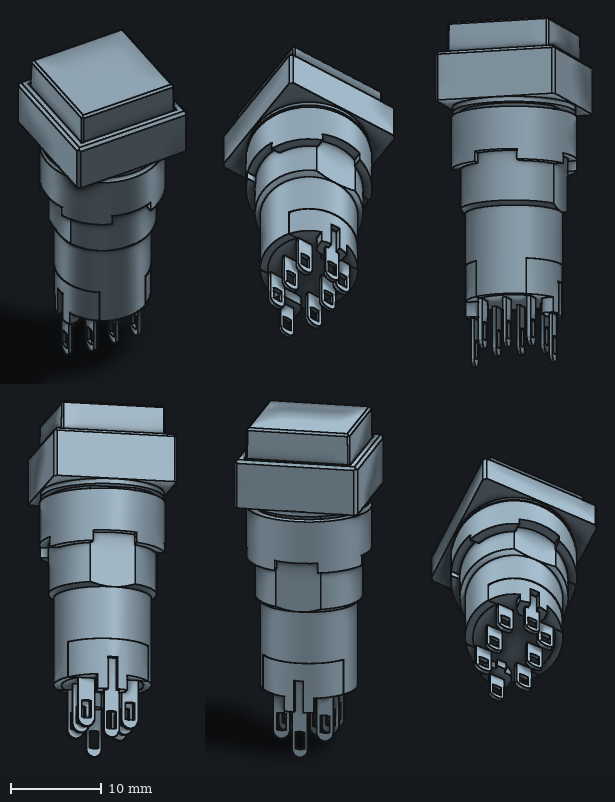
import cadquery as cq

TOP_Z = 38.0
BEZEL_TOP_Z = 34.55
CAP_BOTTOM_Z = 30.75
BEZEL_BOTTOM_Z = 29.05
FLANGE_BOTTOM_Z = 28.45
NUT_TOP_Z = 27.9
NUT_BOTTOM_Z = 21.95
BARREL_BOTTOM_Z = 17.02
BLOCK_TOP_Z = 11.1
HOUSING_BOTTOM_Z = 7.05
TONGUE_BOTTOM_Z = 5.4

BEZEL_SIDE = 14.0
BEZEL_CHAMFER = 0.35
CAP_OPENING_SIDE = 12.1

FLANGE_RADIUS = 6.85
BARREL_RADIUS = 6.0
BARREL_CHAMFER_HEIGHT = 0.45
REAR_RADIUS = 5.45

CAP_BASE_SIDE = 11.97
CAP_TAPER_ANGLE = 1.0
CAP_CHAMFER = 0.25

NUT_RADIUS = 7.0
NUT_NOTCH_WIDTH = 4.9
NUT_NOTCH_HEIGHT = 1.15

CORE_RADIUS = 4.55
SEGMENT_RADIUS = 5.4
SEGMENT_INNER_Y = 2.93

TONGUE_WIDTH = 3.35
TONGUE_CORNER_RADIUS = 0.8
TONGUE_INNER_Y = 3.57
KEY_WIDTH = 1.05
KEY_INNER_Y = 3.15

GROOVE_WIDTH = 1.05
GROOVE_TOP_Z = 9.05

TERMINAL_THICKNESS = 0.38
CORNER_TERMINAL_THICKNESS = 0.45
LONG_TERMINAL_WIDTH = 1.7
LONG_TERMINAL_Y = 4.55
SHORT_TERMINAL_WIDTH = 1.85
SHORT_TERMINAL_X = 2.47
SHORT_TERMINAL_TIP_Z = 1.55
CORNER_TERMINAL_Y = 2.8
EYE_WIDTH = 1.05
EYE_HEIGHT = 2.05
EYE_END_RISE = 0.1
EYE_ABOVE_TIP = 0.95


def cylinder(radius, bottom_z, top_z):
    return cq.Workplane("XY", origin=(0, 0, bottom_z)).circle(radius).extrude(top_z - bottom_z)


def box(x_size, y_size, bottom_z, top_z, x=0, y=0):
    return cq.Workplane("XY", origin=(x, y, bottom_z)).rect(x_size, y_size).extrude(top_z - bottom_z)


def chamfered_square(side, chamfer, bottom_z, top_z, taper=0):
    """Square block, narrowing upwards by the taper angle, with its corners and top rim cut at 45 degrees."""
    half = side / 2
    cut = half - chamfer
    height = top_z - bottom_z
    base = cq.Workplane("XY", origin=(0, 0, bottom_z))
    rimmed = base.rect(side, side).extrude(height, taper=taper).faces(">Z").edges().chamfer(chamfer)
    corner_cut_outline = [
        (half, -cut), (half, cut), (cut, half), (-cut, half),
        (-half, cut), (-half, -cut), (-cut, -half), (cut, -half),
    ]
    return rimmed.intersect(base.polyline(corner_cut_outline).close().extrude(height, taper=taper))


def outer_segments(radius, bottom_z, top_z):
    """Two pieces of a disc, those lying beyond SEGMENT_INNER_Y on either Y side."""
    middle = box(2 * radius, 2 * SEGMENT_INNER_Y, bottom_z, top_z)
    return cylinder(radius, bottom_z, top_z).cut(middle)


def make_cap():
    return chamfered_square(CAP_BASE_SIDE, CAP_CHAMFER, CAP_BOTTOM_Z, TOP_Z, CAP_TAPER_ANGLE)


def make_barrel():
    """Threaded length with a tapered rear end and a flat on each Y side, level with the rear length."""
    barrel = (
        cq.Workplane("XZ")
        .moveTo(0, BARREL_BOTTOM_Z)
        .lineTo(REAR_RADIUS, BARREL_BOTTOM_Z)
        .lineTo(BARREL_RADIUS, BARREL_BOTTOM_Z + BARREL_CHAMFER_HEIGHT)
        .lineTo(BARREL_RADIUS, FLANGE_BOTTOM_Z)
        .lineTo(0, FLANGE_BOTTOM_Z)
        .close()
        .revolve(360, (0, 0, 0), (0, 1, 0))
    )
    return barrel.intersect(box(2 * BARREL_RADIUS, 2 * REAR_RADIUS, BARREL_BOTTOM_Z, FLANGE_BOTTOM_Z))


def make_housing():
    housing = (
        chamfered_square(BEZEL_SIDE, BEZEL_CHAMFER, BEZEL_BOTTOM_Z, BEZEL_TOP_Z)
        .union(cylinder(FLANGE_RADIUS, FLANGE_BOTTOM_Z, BEZEL_BOTTOM_Z))
        .union(make_barrel())
        .union(cylinder(REAR_RADIUS, HOUSING_BOTTOM_Z, BARREL_BOTTOM_Z))
    )
    cap_opening = box(CAP_OPENING_SIDE, CAP_OPENING_SIDE, CAP_BOTTOM_Z, BEZEL_TOP_Z)
    block_bore = cylinder(CORE_RADIUS, HOUSING_BOTTOM_Z, BLOCK_TOP_Z)
    block_windows = outer_segments(BARREL_RADIUS, HOUSING_BOTTOM_Z, BLOCK_TOP_Z)
    return housing.cut(cap_opening).cut(block_bore).cut(block_windows)


def make_nut():
    bore = cylinder(BARREL_RADIUS, NUT_BOTTOM_Z, NUT_TOP_Z)
    nut = cylinder(NUT_RADIUS, NUT_BOTTOM_Z, NUT_TOP_Z).cut(bore)
    notch_top_z = NUT_BOTTOM_Z + NUT_NOTCH_HEIGHT
    notch_along_x = box(2 * NUT_RADIUS, NUT_NOTCH_WIDTH, NUT_BOTTOM_Z, notch_top_z)
    notch_along_y = box(NUT_NOTCH_WIDTH, 2 * NUT_RADIUS, NUT_BOTTOM_Z, notch_top_z)
    return nut.cut(notch_along_x).cut(notch_along_y)


def make_terminal(x, y, width, thickness, tip_z):
    """Flat blade with a round tip and a wire eye, reaching up into the contact block."""
    half_width = width / 2
    half_eye = EYE_WIDTH / 2
    eye_bottom_z = tip_z + EYE_ABOVE_TIP
    eye_top_z = eye_bottom_z + EYE_HEIGHT
    plane = cq.Workplane("XZ", origin=(x, y, 0))
    blade = (
        plane.moveTo(-half_width, HOUSING_BOTTOM_Z)
        .lineTo(-half_width, tip_z + half_width)
        .threePointArc((0, tip_z), (half_width, tip_z + half_width))
        .lineTo(half_width, HOUSING_BOTTOM_Z)
        .close()
        .extrude(thickness / 2, both=True)
    )
    eye = (
        plane.moveTo(-half_eye, eye_bottom_z + EYE_END_RISE)
        .threePointArc((0, eye_bottom_z), (half_eye, eye_bottom_z + EYE_END_RISE))
        .lineTo(half_eye, eye_top_z - EYE_END_RISE)
        .threePointArc((0, eye_top_z), (-half_eye, eye_top_z - EYE_END_RISE))
        .close()
        .extrude(thickness, both=True)
    )
    return blade.cut(eye)


def make_long_terminal(side):
    """Terminal in the tongue; side is +1 or -1 along Y."""
    return make_terminal(0, side * LONG_TERMINAL_Y, LONG_TERMINAL_WIDTH, TERMINAL_THICKNESS, 0)


def make_short_terminal(side, row):
    """One of three terminals in a row along Y; side is +1 or -1 along X, row is -1, 0 or +1 along Y."""
    x = side * SHORT_TERMINAL_X
    y = row * CORNER_TERMINAL_Y
    thickness = TERMINAL_THICKNESS if row == 0 else CORNER_TERMINAL_THICKNESS
    return make_terminal(x, y, SHORT_TERMINAL_WIDTH, thickness, SHORT_TERMINAL_TIP_Z)


def make_tongue(side):
    """Tongue under one segment, with its inner corners rounded; side is +1 or -1 along Y."""
    length = SEGMENT_RADIUS - TONGUE_INNER_Y
    middle_y = side * (TONGUE_INNER_Y + length / 2)
    inner_corners = "|Z and <Y" if side > 0 else "|Z and >Y"
    tongue = box(TONGUE_WIDTH, length, TONGUE_BOTTOM_Z, HOUSING_BOTTOM_Z, y=middle_y)
    tongue = tongue.edges(inner_corners).fillet(TONGUE_CORNER_RADIUS)
    return tongue.intersect(cylinder(SEGMENT_RADIUS, TONGUE_BOTTOM_Z, HOUSING_BOTTOM_Z))


def make_key():
    """Rib on the inner face of the +Y tongue."""
    length = TONGUE_INNER_Y - KEY_INNER_Y
    return box(KEY_WIDTH, length, TONGUE_BOTTOM_Z, HOUSING_BOTTOM_Z, y=KEY_INNER_Y + length / 2)


def make_groove(side):
    """Cutter that opens one segment and its tongue down to the outer face of the long terminal."""
    floor_y = LONG_TERMINAL_Y + TERMINAL_THICKNESS / 2
    depth = SEGMENT_RADIUS - floor_y
    return box(GROOVE_WIDTH, depth, TONGUE_BOTTOM_Z, GROOVE_TOP_Z, y=side * (floor_y + depth / 2))


def make_contact_block():
    block = cylinder(CORE_RADIUS, HOUSING_BOTTOM_Z, BLOCK_TOP_Z)
    block = block.union(outer_segments(SEGMENT_RADIUS, HOUSING_BOTTOM_Z, BLOCK_TOP_Z))
    block = block.union(make_tongue(1)).union(make_tongue(-1)).union(make_key())
    for side in (-1, 1):
        block = block.cut(make_groove(side))
        block = block.union(make_long_terminal(side))
        for row in (-1, 0, 1):
            block = block.union(make_short_terminal(side, row))
    return block


cap = make_cap()
housing = make_housing()
nut = make_nut()
contact_block = make_contact_block()

result = cq.Compound.makeCompound([cap.val(), housing.val(), nut.val(), contact_block.val()])